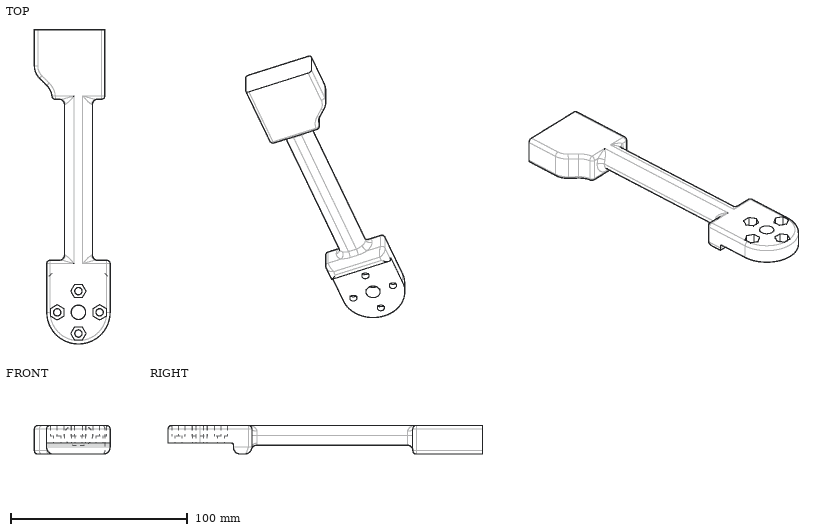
import cadquery as cq
import math


thickness = 16.25
edge_radius = 2.0
junction_radius = 2.9
margin = 0.1

hub_radius = 18.0
hub_back_y = 29.5
plate_thickness = 10.0
foot_front_y = 19.0
foot_bottom_radius = 4.0
foot_root_radius = 1.0

center_hole_diameter = 8.0
screw_hole_diameter = 4.0
screw_count = 4
screw_circle_radius = 12.0
nut_across_flats = 7.5
nut_pocket_depth = 6.0

arm_width = 16.0
arm_height = 11.25
arm_corner_radius = 5.6

head_front_y = 120.5
head_back_y = 160.0
head_left_x = -25.0
head_right_x = 15.0
bend_inset = 10.0
bend_start_y = 139.5
bend_radius = 10.0


def block(x_min, x_max, y_min, y_max, height):
    """Box hanging down from the top face."""
    size = (x_max - x_min, y_max - y_min, height)
    return cq.Workplane().box(*size, centered=False).translate((x_min, y_min, -height))


def make_hub():
    foot = block(-hub_radius, hub_radius, foot_front_y, hub_back_y, thickness)
    foot = foot.edges("|Z and >Y").fillet(edge_radius)
    foot = foot.faces("<Z").edges().fillet(foot_bottom_radius)
    plate = block(-hub_radius, hub_radius, 0, hub_back_y, plate_thickness)
    plate = plate.edges("|Z and >Y").fillet(edge_radius)
    nose = cq.Workplane().circle(hub_radius).extrude(-plate_thickness)
    hub = plate.union(nose).union(foot).clean()
    root = cq.selectors.BoxSelector(
        (-hub_radius - margin, foot_front_y - margin, -plate_thickness - margin),
        (hub_radius + margin, foot_front_y + margin, -plate_thickness + margin),
    )
    hub = hub.edges(root).fillet(foot_root_radius)
    return hub.faces(">Z").edges().fillet(edge_radius)


def make_head():
    turn = math.pi / 4
    arc_dx = bend_radius * (1 - math.cos(turn))
    arc_dy = bend_radius * math.sin(turn)
    mid_dx = bend_radius * (1 - math.cos(turn / 2))
    mid_dy = bend_radius * math.sin(turn / 2)
    straight_dy = bend_inset - 2 * arc_dx
    inset_x = head_left_x + bend_inset
    bend_end_y = bend_start_y - 2 * arc_dy - straight_dy
    head = (
        cq.Workplane()
        .moveTo(head_right_x, head_back_y)
        .lineTo(head_left_x, head_back_y)
        .lineTo(head_left_x, bend_start_y)
        .threePointArc(
            (head_left_x + mid_dx, bend_start_y - mid_dy),
            (head_left_x + arc_dx, bend_start_y - arc_dy),
        )
        .lineTo(inset_x - arc_dx, bend_end_y + arc_dy)
        .threePointArc((inset_x - mid_dx, bend_end_y + mid_dy), (inset_x, bend_end_y))
        .lineTo(inset_x, head_front_y)
        .lineTo(head_right_x, head_front_y)
        .close()
        .extrude(-thickness)
    )
    head = head.edges("|Z and <Y").fillet(edge_radius)
    return head.edges("(>Z or <Z) and (not >Y)").fillet(edge_radius)


def make_arm():
    start_y = hub_back_y - edge_radius
    end_y = head_front_y + edge_radius
    arm = block(-arm_width / 2, arm_width / 2, start_y, end_y, arm_height)
    return arm.edges("|Y").fillet(arm_corner_radius)


def round_arm_end(part, end_y):
    """Fillet the seam where the arm meets the end face of a block at end_y, leaving the flat top alone."""
    half_width = arm_width / 2
    seam = cq.selectors.BoxSelector(
        (-half_width - margin, end_y - edge_radius - margin, -arm_height - margin),
        (half_width + margin, end_y + edge_radius + margin, -margin),
    )
    return part.edges(seam).fillet(junction_radius)


def cut_holes(part):
    center = cq.Workplane().circle(center_hole_diameter / 2).extrude(-thickness)
    screw = cq.Workplane().circle(screw_hole_diameter / 2).extrude(-thickness)
    nut_across_corners = nut_across_flats / math.cos(math.pi / 6)
    nut = cq.Workplane().polygon(6, nut_across_corners).extrude(-nut_pocket_depth)
    screw_and_nut = screw.union(nut).translate((0, screw_circle_radius, 0))
    part = part.cut(center)
    for index in range(screw_count):
        angle = index * 360 / screw_count
        part = part.cut(screw_and_nut.rotate((0, 0, 0), (0, 0, 1), angle))
    return part


arm_with_ends = make_hub().union(make_arm()).union(make_head())
for end_y in (hub_back_y, head_front_y):
    arm_with_ends = round_arm_end(arm_with_ends, end_y)
result = cut_holes(arm_with_ends)